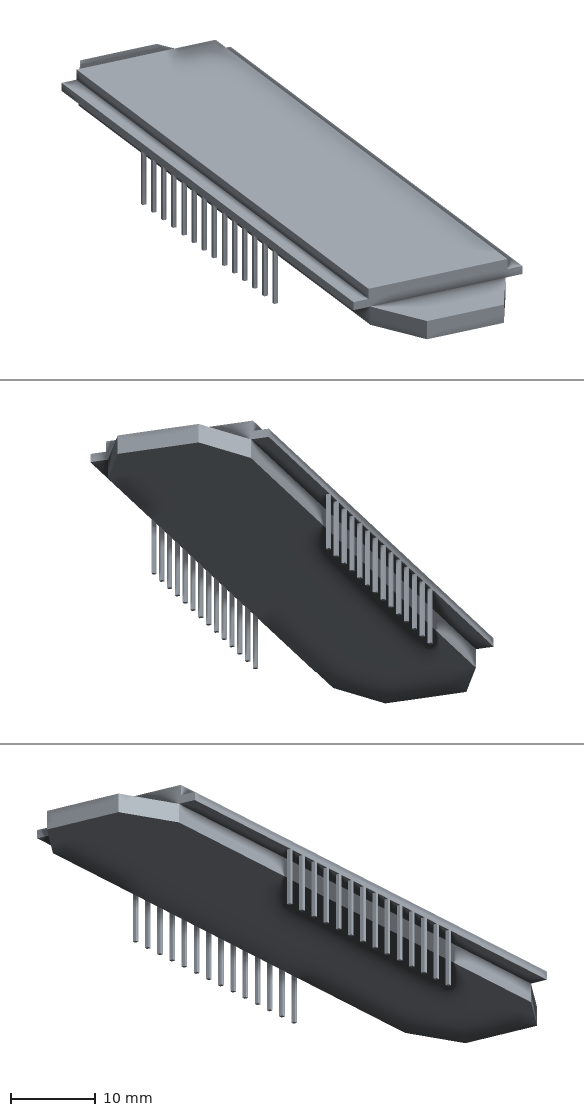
import cadquery as cq

overall_length = 87.0
glass_width = 22.6
overall_height = 9.2

glass_length = 73.2
upper_width = 18.6
lower_thickness = 1.05
upper_thickness = 1.3

pins_per_row = 14
pin_row_span = 33.0
pin_width = 0.47
pin_thickness = 0.49
pin_pitch = pin_row_span / (pins_per_row - 1)
pin_length = overall_height - lower_thickness - upper_thickness
pin_row_offset = (glass_width - pin_thickness) / 2

backlight_width = 18.1
backlight_end_width = 10.3
backlight_thickness = 2.35

panel_length = 69.95
panel_width = 15.1
panel_thickness = 0.3

step_height = lower_thickness
glass_top = lower_thickness + upper_thickness
panel_bottom = glass_top - panel_thickness


def block(length, width, height, bottom):
    """Centred box standing on the given height."""
    return (
        cq.Workplane("XY", origin=(0, 0, bottom))
        .rect(length, width)
        .extrude(height)
    )


def make_panel():
    """Thin rectangular panel; its shape also cuts the recess it sits in."""
    return block(panel_length, panel_width, panel_thickness, panel_bottom)


def make_pins():
    """Two rows of pins hanging from the underside of the glass."""
    first_pin = -pin_row_span / 2
    centres = [
        (first_pin + index * pin_pitch, side * pin_row_offset)
        for side in (-1, 1)
        for index in range(pins_per_row)
    ]
    return (
        cq.Workplane("XY")
        .pushPoints(centres)
        .rect(pin_width, pin_thickness)
        .extrude(-pin_length)
    )


def make_glass():
    """Stepped glass with its contact pins and the recess for the panel."""
    lower_sheet = block(glass_length, glass_width, lower_thickness, 0)
    upper_sheet = block(glass_length, upper_width, upper_thickness, step_height)
    return lower_sheet.union(upper_sheet).union(make_pins()).cut(make_panel())


def make_backlight():
    """Flat plate that tapers towards both ends beyond the glass."""
    end_x = overall_length / 2
    taper_x = glass_length / 2
    side_y = backlight_width / 2
    end_y = backlight_end_width / 2
    outline = [
        (-end_x, -end_y),
        (-taper_x, -side_y),
        (taper_x, -side_y),
        (end_x, -end_y),
        (end_x, end_y),
        (taper_x, side_y),
        (-taper_x, side_y),
        (-end_x, end_y),
    ]
    return cq.Workplane("XY").polyline(outline).close().extrude(-backlight_thickness)


glass = make_glass()
backlight = make_backlight()
panel = make_panel()

result = cq.Compound.makeCompound([glass.val(), backlight.val(), panel.val()])